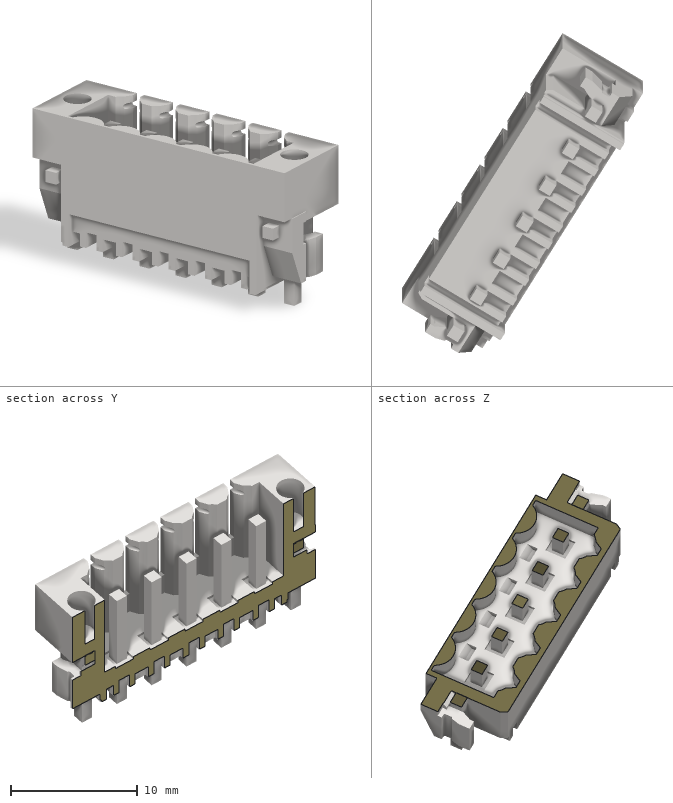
import cadquery as cq
import math


housing_length = 24.45
depth = 7.45
top_z = 12.55
half_length = housing_length / 2
block_right_x = 12.15
front_y = -depth / 2
back_y = depth / 2

contact_count = 5
pitch = 3.5
pin_width = 1.0
pin_y = -0.22
pin_front_y = pin_y - pin_width / 2
pin_back_y = pin_y + pin_width / 2
contact_top_z = 11.27
anchor_x = (contact_count + 1) / 2 * pitch
anchor_top_z = 7.53
bend_inner_radius = 0.5
bend_outer_radius = bend_inner_radius + pin_width
anchor_front_y = -3.67
contact_xs = [(i - (contact_count - 1) / 2) * pitch for i in range(contact_count)]
gap_xs = [x + pitch / 2 for x in contact_xs[:-1]]

wing_top_z = 8.35
wing_bottom_z = 2.47
foot_step_z = 1.78
foot_bottom_z = 1.52

cavity_floor_z = 4.65
cavity_half_length = 8.97
cavity_back_y = 2.08
cavity_front_y = -3.47
scallop_half_width = 1.5
scallop_peak_y = -2.55
notch_width = 0.68
notch_inner_y = 3.2
notch_floor_z = 6.6
flank_half_width = 0.73
flank_y = 2.52
bay_half_width = 1.27
bay_radius = 1.7
groove_length = 1.61
groove_height = 0.5
groove_top_z = top_z - 0.6
groove_floor_z = groove_top_z - groove_height
well_size = 1.75
well_depth = 0.25
pocket_length = 1.45
pocket_back_y = -1.7
pocket_flat_y = -2.15
pocket_front_y = -2.62

screw_hole_diameter = 2.25
screw_hole_depth = 3.67

core_half_length = 9.45
foot_half_length = 9.35
window_half = 8.75
window_depth = 0.64
window_top_z = 4.33
slab_half_length = 8.1
underside_z = 2.62
pin_slot_top_z = 2.84
gap_slot_length = 1.27

wing_front_y = -2.76
ramp_top_z = 5.43
ramp_bottom_y = -1.55
post_back_y = pin_front_y - bend_inner_radius
wall_x = anchor_x - pin_width / 2
wall_thickness = 0.98
wall_inner_x = wall_x - wall_thickness
wall_chamfer_length = 0.51
wall_chamfer_angle = 30
support_back_y = -0.85
support_top_z = 6.3
arm_top_z = 5.67
arm_back_y = 1.6
arm_bend_y = 0.93
arm_tip_y = -0.1
arm_taper = 0.27
arm_thickness = 0.85
arm_inner_bend_y = 1.22
arm_inner_contact_y = 0.45
channel_radius = 0.15
channel_floor_x = half_length - arm_taper - channel_radius


def block(x0, x1, y0, y1, z0, z1):
    """Box between two corners."""
    return cq.Workplane("XY").box(x1 - x0, y1 - y0, z1 - z0, centered=False).translate((x0, y0, z0))


def mirrored_pair(right_half):
    """A right-hand shape together with its left-hand mirror image."""
    return right_half.union(right_half.mirror("YZ"))


def make_contact_pin(x):
    """Straight square pin, standing free inside the cavity."""
    half = pin_width / 2
    return block(x - half, x + half, pin_front_y, pin_back_y, 0, contact_top_z)


def make_anchor_pin(x):
    """Square pin that rises from the board and bends forward to the front face."""
    bend_z = anchor_top_z - bend_outer_radius
    lower_z = anchor_top_z - pin_width
    diagonal = math.sqrt(0.5)
    outer_mid = (post_back_y + bend_outer_radius * diagonal, bend_z + bend_outer_radius * diagonal)
    inner_mid = (post_back_y + bend_inner_radius * diagonal, bend_z + bend_inner_radius * diagonal)
    return (
        cq.Workplane("YZ", origin=(x - pin_width / 2, 0, 0))
        .moveTo(pin_front_y, 0)
        .lineTo(pin_back_y, 0)
        .lineTo(pin_back_y, bend_z)
        .threePointArc(outer_mid, (post_back_y, anchor_top_z))
        .lineTo(anchor_front_y, anchor_top_z)
        .lineTo(anchor_front_y, lower_z)
        .lineTo(post_back_y, lower_z)
        .threePointArc(inner_mid, (pin_front_y, bend_z))
        .close()
        .extrude(pin_width)
    )


def make_body_block():
    """Upper block and the narrower core that reaches down to the foot."""
    upper = block(-half_length, block_right_x, front_y, back_y, wing_top_z, top_z)
    core = block(-core_half_length, core_half_length, front_y, back_y, foot_step_z, wing_top_z)
    foot = block(-foot_half_length, foot_half_length, front_y, back_y, foot_bottom_z, foot_step_z)
    return upper.union(core).union(foot)


def make_wing_post():
    """Right-hand wing: a block over the anchor pin and a ramped post in front of its leg."""
    roof = block(core_half_length, half_length, wing_front_y, back_y, anchor_top_z, wing_top_z)
    post = (
        cq.Workplane("YZ", origin=(core_half_length, 0, 0))
        .polyline([
            (post_back_y, wing_bottom_z),
            (ramp_bottom_y, wing_bottom_z),
            (wing_front_y, ramp_top_z),
            (wing_front_y, wing_top_z),
            (post_back_y, wing_top_z),
        ])
        .close()
        .extrude(half_length - core_half_length)
    )
    return roof.union(post)


def make_wing_wall():
    """Right-hand wall behind the anchor pin, chamfered at its back corner."""
    chamfer_run = wall_chamfer_length * math.tan(math.radians(wall_chamfer_angle))
    return (
        cq.Workplane("XY", origin=(0, 0, wing_bottom_z))
        .polyline([
            (wall_inner_x, post_back_y),
            (wall_x, post_back_y),
            (wall_x, back_y - wall_chamfer_length),
            (wall_x - chamfer_run, back_y),
            (wall_inner_x, back_y),
        ])
        .close()
        .extrude(anchor_top_z - wing_bottom_z)
    )


def make_leg_support():
    """Right-hand step on the post, just in front of the anchor leg, with a bevelled top."""
    step = support_back_y - post_back_y
    return (
        cq.Workplane("YZ", origin=(wall_x, 0, 0))
        .polyline([
            (post_back_y, wing_bottom_z),
            (support_back_y, wing_bottom_z),
            (support_back_y, support_top_z - step),
            (post_back_y, support_top_z),
        ])
        .close()
        .extrude(half_length - arm_thickness - wall_x)
    )


def make_clamp_arm():
    """Right-hand bent arm that wraps the outer side of the anchor leg behind the post."""
    inner_x = half_length - arm_thickness
    leg_side_x = anchor_x + pin_width / 2
    fillet_offset = channel_radius * (1 - math.sqrt(0.5))
    return (
        cq.Workplane("XY", origin=(0, 0, wing_bottom_z))
        .moveTo(half_length, arm_back_y)
        .lineTo(half_length, arm_bend_y)
        .lineTo(half_length - arm_taper, arm_tip_y)
        .threePointArc(
            (channel_floor_x + fillet_offset, arm_tip_y - fillet_offset),
            (channel_floor_x, arm_tip_y - channel_radius),
        )
        .lineTo(channel_floor_x, support_back_y + channel_radius)
        .threePointArc(
            (channel_floor_x + fillet_offset, support_back_y + fillet_offset),
            (channel_floor_x + channel_radius, support_back_y),
        )
        .lineTo(half_length, support_back_y)
        .lineTo(half_length, post_back_y)
        .lineTo(leg_side_x, post_back_y)
        .lineTo(leg_side_x, arm_inner_contact_y)
        .lineTo(inner_x, arm_inner_bend_y)
        .lineTo(inner_x, arm_back_y)
        .close()
        .extrude(arm_top_z - wing_bottom_z)
    )


def make_wings():
    """Both end wings; behind its post the right-hand one is trimmed flush with the upper block."""
    wing = make_wing_post().union(make_wing_wall()).union(make_leg_support()).union(make_clamp_arm())
    trim = block(block_right_x, half_length, support_back_y, back_y, wing_bottom_z, wing_top_z)
    return mirrored_pair(wing).cut(trim)


def make_cavity():
    """Open cavity with a scalloped front wall and a bay in the back wall at each contact."""
    cavity_height = top_z - cavity_floor_z
    half_notch = notch_width / 2
    run = bay_half_width - flank_half_width
    rise = flank_y - cavity_back_y
    chord = math.hypot(run, rise)
    bulge = bay_radius - math.sqrt(bay_radius**2 - (chord / 2) ** 2)
    bay_mid_x = (flank_half_width + bay_half_width) / 2 + bulge * rise / chord
    bay_mid_y = (flank_y + cavity_back_y) / 2 + bulge * run / chord

    outline = cq.Workplane("XY", origin=(0, 0, cavity_floor_z)).moveTo(-cavity_half_length, cavity_front_y)
    for x in contact_xs:
        outline = outline.lineTo(x - scallop_half_width, cavity_front_y).threePointArc(
            (x, scallop_peak_y), (x + scallop_half_width, cavity_front_y)
        )
    outline = outline.lineTo(cavity_half_length, cavity_front_y).lineTo(cavity_half_length, cavity_back_y)
    for x in reversed(contact_xs):
        outline = (
            outline.lineTo(x + bay_half_width, cavity_back_y)
            .threePointArc((x + bay_mid_x, bay_mid_y), (x + flank_half_width, flank_y))
            .lineTo(x + half_notch, notch_inner_y)
            .lineTo(x - half_notch, notch_inner_y)
            .lineTo(x - flank_half_width, flank_y)
            .threePointArc((x - bay_mid_x, bay_mid_y), (x - bay_half_width, cavity_back_y))
        )
    return outline.lineTo(-cavity_half_length, cavity_back_y).close().extrude(cavity_height)


def make_key_slot(x):
    """Notch in the back wall, widened near its top by a groove with round ends."""
    half_notch = notch_width / 2
    notch = block(x - half_notch, x + half_notch, cavity_back_y, back_y, notch_floor_z, top_z)
    groove = (
        cq.Workplane("XZ", origin=(x, back_y, groove_floor_z + groove_height / 2))
        .slot2D(groove_length, groove_height)
        .extrude(back_y - cavity_back_y)
    )
    return notch.union(groove)


def make_pin_well(x):
    """Shallow square recess in the cavity floor around a contact."""
    return (
        cq.Workplane("XY", origin=(x, pin_y, cavity_floor_z - well_depth))
        .rect(well_size, well_size)
        .extrude(well_depth)
    )


def make_floor_pocket(x):
    """Pocket in the cavity floor with a 45 degree slope at its front."""
    pocket_z = cavity_floor_z - (pocket_flat_y - pocket_front_y)
    return (
        cq.Workplane("YZ", origin=(x - pocket_length / 2, 0, 0))
        .polyline([
            (pocket_front_y, cavity_floor_z),
            (pocket_flat_y, pocket_z),
            (pocket_back_y, pocket_z),
            (pocket_back_y, cavity_floor_z),
        ])
        .close()
        .extrude(pocket_length)
    )


def make_screw_hole():
    """Right-hand blind hole in the top of the block."""
    return (
        cq.Workplane("XY", origin=(anchor_x, 0, top_z - screw_hole_depth))
        .circle(screw_hole_diameter / 2)
        .extrude(screw_hole_depth)
    )


def make_foot_slot(x, length, slot_top_z):
    """Slot in the underside, open at the front and ending at the pin legs."""
    return block(x - length / 2, x + length / 2, front_y, pin_front_y, foot_bottom_z, slot_top_z)


def make_housing():
    """Complete housing with a hole for every pin."""
    housing = make_body_block()

    window_back_y = front_y + window_depth
    window = block(-window_half, window_half, front_y, window_back_y, foot_bottom_z, window_top_z)
    end_channel = block(slab_half_length, window_half, front_y, back_y, foot_bottom_z, underside_z)
    anchor_room = block(wall_x, half_length, post_back_y, back_y, wing_bottom_z, anchor_top_z)
    chamfer_y = back_y - wall_chamfer_length
    wall_corner = block(wall_inner_x, half_length, chamfer_y, back_y, wing_bottom_z, anchor_top_z)
    housing = housing.cut(window).cut(mirrored_pair(end_channel))
    housing = housing.cut(mirrored_pair(anchor_room)).cut(mirrored_pair(wall_corner))
    housing = housing.union(make_wings())

    housing = housing.cut(make_cavity()).cut(mirrored_pair(make_screw_hole()))
    for x in contact_xs:
        housing = housing.cut(make_key_slot(x)).cut(make_pin_well(x))
        housing = housing.cut(make_foot_slot(x, pin_width, pin_slot_top_z))
        housing = housing.cut(make_contact_pin(x))
    for x in gap_xs:
        housing = housing.cut(make_floor_pocket(x))
        housing = housing.cut(make_foot_slot(x, gap_slot_length, underside_z))
    return housing.cut(mirrored_pair(make_anchor_pin(anchor_x)))


housing = make_housing()
contact_pins = [make_contact_pin(x) for x in contact_xs]
anchor_pins = [make_anchor_pin(x) for x in (-anchor_x, anchor_x)]

result = cq.Compound.makeCompound(
    [housing.val(), *[pin.val() for pin in contact_pins], *[pin.val() for pin in anchor_pins]]
)